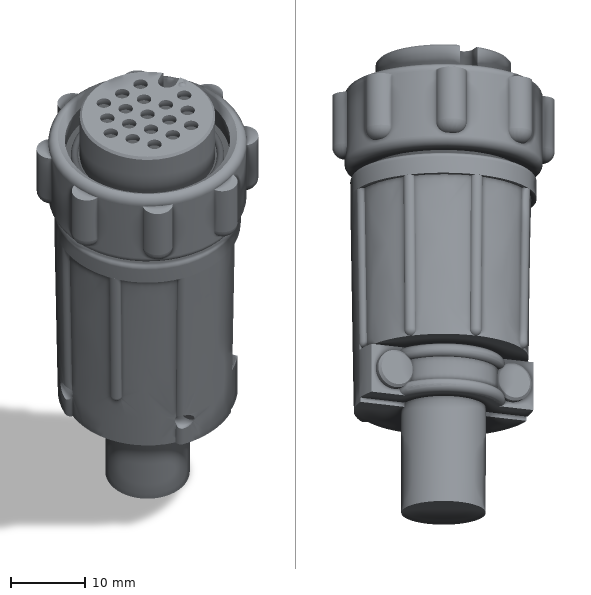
import cadquery as cq
import math

CABLE_BOTTOM = 0.0
BODY_BOTTOM = 14.2
CLAMP_BOTTOM = 14.8
CLAMP_TOP = 21.5
BACK_HALF_BOTTOM = 21.7
FLANGE_BOTTOM = 43.94
FLANGE_TOP = 46.86
RING_BOTTOM = 47.8
RING_FLOOR = 55.8
KNOB_TOP = 58.07
RING_TOP = 59.2
INSERT_TOP = 63.0

CABLE_RADIUS = 5.68
FLANGE_RADIUS = 12.53
FLANGE_FILLET = 0.62
NECK_RADIUS = 10.23
PANEL_DEPTH = 0.73
BODY_TAPER = 0.47
RIB_RADIUS = 0.8
SHORT_RIB_ANGLES = (0, 45, 90, 135, 180, 270)
LONG_RIB_ANGLES = (225, 315)

SCREW_X = 8.5
SCREW_Z = 18.15
SCREW_HOLE_RADIUS = 1.15
SCREW_HOLE_FLOOR_Y = -6.5
SCREW_HEAD_RADIUS = 2.6
SCREW_HEAD_HEIGHT = 1.2
SCREW_HEAD_CHAMFER = 0.35

EAR_RADIUS = 12.15
EAR_THICKNESS = 3.2
ARCH_RADIUS = 7.45
RIDGE_RADIUS = 8.3
RIDGE_HEIGHT = 1.8
RIDGE_FILLET = 0.85

RING_RADIUS = 13.33
RING_FILLET = 1.1
RING_BORE_RADIUS = 11.1
RING_CHAMFER_WIDTH = 0.95
RING_CHAMFER_DEPTH = 0.68
KNOB_COUNT = 8
KNOB_START_ANGLE = 27.5
KNOB_CENTRE_RADIUS = 12.93
KNOB_RADIUS = 2.04
KNOB_BOTTOM = 49.3
KNOB_FILLET = 1.54

INSERT_RADIUS = 9.11
INSERT_CHAMFER = 0.3
GASKET_RADIUS = 0.485
GASKET_CENTRE_RADIUS = 9.82
CONTACT_PITCH = 3.15
CONTACT_ROW_PITCH = CONTACT_PITCH * math.sin(math.radians(60))
CONTACT_HOLE_RADIUS = 0.97
CONTACT_HOLE_DEPTH = 1.0
KEYWAY_RADIUS = 1.27
KEYWAY_CENTRE_Y = 7.29
NUB_X = 2.09
NUB_Y = 7.40
NUB_RADIUS = 0.52
NUB_HEIGHT = 0.17

OVERLAP = 0.5


def disc(radius, bottom, top):
    """Cylinder on the connector axis."""
    return cq.Workplane("XY").workplane(offset=bottom).circle(radius).extrude(top - bottom)


def half_space(side, bottom, top):
    """Block holding everything on the +Y (side 1) or -Y (side -1) half between two levels."""
    size = 4 * FLANGE_RADIUS
    block = cq.Workplane("XY").box(size, size, top - bottom, centered=(True, True, False))
    return block.translate((0, side * size / 2, bottom))


def tapered_core(top_radius):
    """Body core narrowing from the flange down to the body bottom."""
    profile = [
        (0, BODY_BOTTOM),
        (top_radius - BODY_TAPER, BODY_BOTTOM),
        (top_radius, FLANGE_BOTTOM),
        (0, FLANGE_BOTTOM),
    ]
    return cq.Workplane("XZ").polyline(profile).close().revolve(360, (0, 0, 0), (0, 1, 0))


def side_lobes():
    """Two raised 45 degree sectors of the front half, each ending on a long rib."""
    reach = 2 * FLANGE_RADIUS
    lobes = tapered_core(FLANGE_RADIUS)
    sectors = cq.Workplane("XY")
    for side in (-1, 1):
        sector = (
            cq.Workplane("XY")
            .workplane(offset=BODY_BOTTOM)
            .polyline([(0, 0), (side * reach, 0), (side * reach, -reach)])
            .close()
            .extrude(FLANGE_BOTTOM - BODY_BOTTOM)
        )
        sectors = sectors.add(sector)
    return lobes.intersect(sectors.combine())


def rib(angle, bottom, rounded_end):
    """Round rib lying along the tapered body, level with the flange surface."""
    slope = BODY_TAPER / (FLANGE_BOTTOM - BODY_BOTTOM)
    top = cq.Vector(FLANGE_RADIUS - RIB_RADIUS, 0, FLANGE_BOTTOM)
    drop = FLANGE_BOTTOM - bottom
    foot = cq.Vector(top.x - slope * drop, 0, bottom)
    axis = top - foot
    shape = cq.Workplane(cq.Solid.makeCylinder(RIB_RADIUS, axis.Length, foot, axis))
    if rounded_end:
        ball = cq.Workplane("XY").sphere(RIB_RADIUS).translate(foot.toTuple())
        shape = shape.union(ball)
    return shape.rotate((0, 0, 0), (0, 0, 1), angle)


def screw_hole(side):
    """Flat-bottomed screw hole entering the front of the body."""
    length = FLANGE_RADIUS + SCREW_HOLE_FLOOR_Y + OVERLAP
    start = cq.Vector(side * SCREW_X, SCREW_HOLE_FLOOR_Y, SCREW_Z)
    return cq.Workplane(cq.Solid.makeCylinder(SCREW_HOLE_RADIUS, length, start, cq.Vector(0, -1, 0)))


def body():
    shape = tapered_core(FLANGE_RADIUS - PANEL_DEPTH).union(side_lobes())
    for angle in LONG_RIB_ANGLES:
        shape = shape.union(rib(angle, BODY_BOTTOM - OVERLAP, False))
    shape = shape.cut(disc(FLANGE_RADIUS, BODY_BOTTOM - 2 * OVERLAP, BODY_BOTTOM))
    shape = shape.cut(half_space(1, BODY_BOTTOM - OVERLAP, BACK_HALF_BOTTOM))
    for angle in SHORT_RIB_ANGLES:
        shape = shape.union(rib(angle, BACK_HALF_BOTTOM + RIB_RADIUS, True))
    flange = disc(FLANGE_RADIUS, FLANGE_BOTTOM, FLANGE_TOP).faces(">Z").edges().fillet(FLANGE_FILLET)
    shape = shape.union(flange)
    for side in (-1, 1):
        shape = shape.cut(screw_hole(side))
    return shape


def screw_head(side):
    """Chamfered round head standing on the back of a clamp ear."""
    height = SCREW_HEAD_HEIGHT + OVERLAP
    start = cq.Vector(side * SCREW_X, EAR_THICKNESS - OVERLAP, SCREW_Z)
    head = cq.Workplane(cq.Solid.makeCylinder(SCREW_HEAD_RADIUS, height, start, cq.Vector(0, 1, 0)))
    return head.faces(">Y").edges().chamfer(SCREW_HEAD_CHAMFER)


def clamp():
    """Back half of the cable clamp: two ears, an arch over the cable and two round ridges."""
    ears = disc(EAR_RADIUS, CLAMP_BOTTOM, CLAMP_TOP)
    ears = ears.cut(half_space(1, CLAMP_BOTTOM, CLAMP_TOP).translate((0, EAR_THICKNESS, 0)))
    shape = ears.union(disc(ARCH_RADIUS, CLAMP_BOTTOM, CLAMP_TOP))
    for bottom in (CLAMP_BOTTOM, CLAMP_TOP - RIDGE_HEIGHT):
        ridge = disc(RIDGE_RADIUS, bottom, bottom + RIDGE_HEIGHT).edges().fillet(RIDGE_FILLET)
        shape = shape.union(ridge)
    for side in (-1, 1):
        shape = shape.union(screw_head(side))
    return shape.intersect(half_space(1, CLAMP_BOTTOM, CLAMP_TOP))


def coupling_ring():
    ring = disc(RING_RADIUS, RING_BOTTOM, RING_TOP).edges().fillet(RING_FILLET)
    knob = disc(KNOB_RADIUS, KNOB_BOTTOM, KNOB_TOP).faces("<Z").edges().fillet(KNOB_FILLET)
    knob = knob.translate((KNOB_CENTRE_RADIUS, 0, 0))
    for index in range(KNOB_COUNT):
        angle = KNOB_START_ANGLE + index * 360 / KNOB_COUNT
        ring = ring.union(knob.rotate((0, 0, 0), (0, 0, 1), angle))
    chamfer_bottom = RING_TOP - RING_CHAMFER_DEPTH
    mouth_radius = RING_BORE_RADIUS + RING_CHAMFER_WIDTH
    bore_profile = [
        (0, RING_FLOOR),
        (RING_BORE_RADIUS, RING_FLOOR),
        (RING_BORE_RADIUS, chamfer_bottom),
        (mouth_radius, RING_TOP),
        (mouth_radius, RING_TOP + OVERLAP),
        (0, RING_TOP + OVERLAP),
    ]
    bore = cq.Workplane("XZ").polyline(bore_profile).close().revolve(360, (0, 0, 0), (0, 1, 0))
    return ring.cut(bore)


def contact_holes():
    """Hexagonal contact pattern; the keyway takes the middle place of the top row."""
    points = []
    for row, count in ((-2, 3), (-1, 4), (0, 5), (1, 4), (2, 3)):
        for column in range(count):
            x = (column - (count - 1) / 2) * CONTACT_PITCH
            under_keyway = row == 2 and column == 1
            if not under_keyway:
                points.append((x, row * CONTACT_ROW_PITCH))
    return (
        cq.Workplane("XY")
        .workplane(offset=INSERT_TOP - CONTACT_HOLE_DEPTH)
        .pushPoints(points)
        .circle(CONTACT_HOLE_RADIUS)
        .extrude(CONTACT_HOLE_DEPTH + OVERLAP)
    )


def keyway():
    """Round-ended slot in the rim of the insert, open outwards and down to the ring floor."""
    height = INSERT_TOP - RING_FLOOR + OVERLAP
    length = INSERT_RADIUS + OVERLAP - KEYWAY_CENTRE_Y
    base = cq.Workplane("XY").workplane(offset=RING_FLOOR)
    round_end = base.center(0, KEYWAY_CENTRE_Y).circle(KEYWAY_RADIUS).extrude(height)
    channel = base.center(0, KEYWAY_CENTRE_Y + length / 2).rect(2 * KEYWAY_RADIUS, length).extrude(height)
    return round_end.union(channel)


def marker_nub():
    """Low spherical dome beside the keyway."""
    sphere_radius = (NUB_RADIUS**2 + NUB_HEIGHT**2) / (2 * NUB_HEIGHT)
    centre = (NUB_X, NUB_Y, INSERT_TOP + NUB_HEIGHT - sphere_radius)
    dome = cq.Workplane("XY").sphere(sphere_radius).translate(centre)
    limit = disc(NUB_RADIUS, INSERT_TOP - OVERLAP, INSERT_TOP + OVERLAP).translate((NUB_X, NUB_Y, 0))
    return dome.intersect(limit)


def insert():
    shape = disc(INSERT_RADIUS, RING_FLOOR - OVERLAP, INSERT_TOP)
    shape = shape.faces(">Z").edges().chamfer(INSERT_CHAMFER)
    shape = shape.cut(keyway()).cut(contact_holes())
    return shape.union(marker_nub())


def gasket():
    """Round sealing ring half sunk in the floor of the coupling ring."""
    axis = cq.Vector(0, 0, 1)
    return cq.Workplane(
        cq.Solid.makeTorus(GASKET_CENTRE_RADIUS, GASKET_RADIUS, cq.Vector(0, 0, RING_FLOOR), axis)
    )


cable = disc(CABLE_RADIUS, CABLE_BOTTOM, BODY_BOTTOM + OVERLAP)
neck = disc(NECK_RADIUS, FLANGE_TOP - OVERLAP, RING_BOTTOM + OVERLAP)

result = body().union(clamp()).union(cable).union(neck)
result = result.union(coupling_ring()).union(gasket()).union(insert())